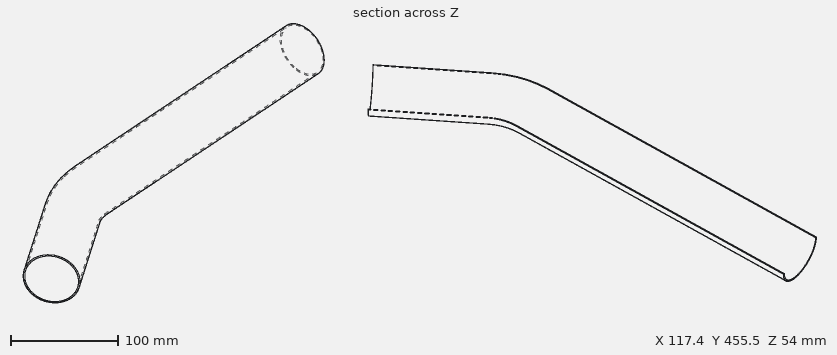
import cadquery as cq
import math

OUTER_DIAMETER = 54.0
INNER_DIAMETER = 51.0
BEND_ANGLE = 30.0
BEND_RADIUS = 80.0
LONG_LEG = 326.0
SHORT_LEG = 134.0

bend_setback = BEND_RADIUS * math.tan(math.radians(BEND_ANGLE / 2))
long_straight = LONG_LEG - bend_setback
short_straight = SHORT_LEG - bend_setback


def tube_centreline():
    """Path in the XY plane: down along -Y, round the bend towards +X, then straight."""
    angle = math.radians(BEND_ANGLE)
    half_angle = angle / 2

    def on_bend(turn):
        """Point on the bend after turning by the given angle; the bend starts at the origin."""
        return (BEND_RADIUS * (1 - math.cos(turn)), -BEND_RADIUS * math.sin(turn))

    bend_end = on_bend(angle)
    short_end = (
        bend_end[0] + short_straight * math.sin(angle),
        bend_end[1] - short_straight * math.cos(angle),
    )
    return (
        cq.Workplane("XY")
        .moveTo(0, long_straight)
        .lineTo(0, 0)
        .threePointArc(on_bend(half_angle), bend_end)
        .lineTo(*short_end)
    )


def bent_tube():
    """Ring section swept along the centreline, open at both ends."""
    section_plane = cq.Plane(origin=(0, long_straight, 0), xDir=(1, 0, 0), normal=(0, -1, 0))
    return (
        cq.Workplane(section_plane)
        .circle(OUTER_DIAMETER / 2)
        .circle(INNER_DIAMETER / 2)
        .sweep(tube_centreline())
    )


result = bent_tube()